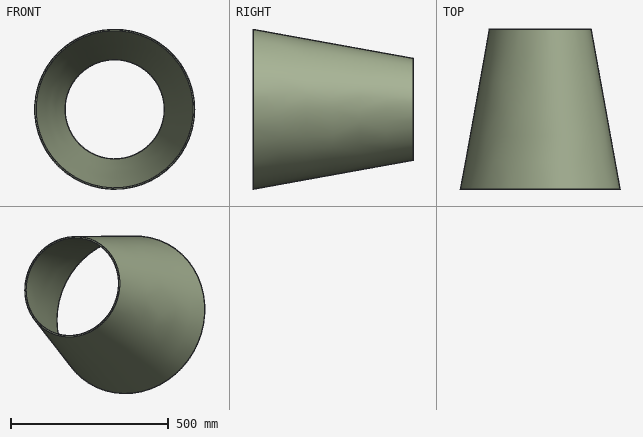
import cadquery as cq

large_diameter = 508.0
small_diameter = 323.9
length = 508.0
wall = 5.0

large_radius = large_diameter / 2
small_radius = small_diameter / 2


def reducer_shell():
    """Revolve the sloped wall section around the Y axis."""
    wall_section = (
        cq.Workplane("XY")
        .moveTo(large_radius - wall, 0)
        .lineTo(large_radius, 0)
        .lineTo(small_radius, length)
        .lineTo(small_radius - wall, length)
        .close()
    )
    return wall_section.revolve(360, (0, 0, 0), (0, 1, 0))


result = reducer_shell()